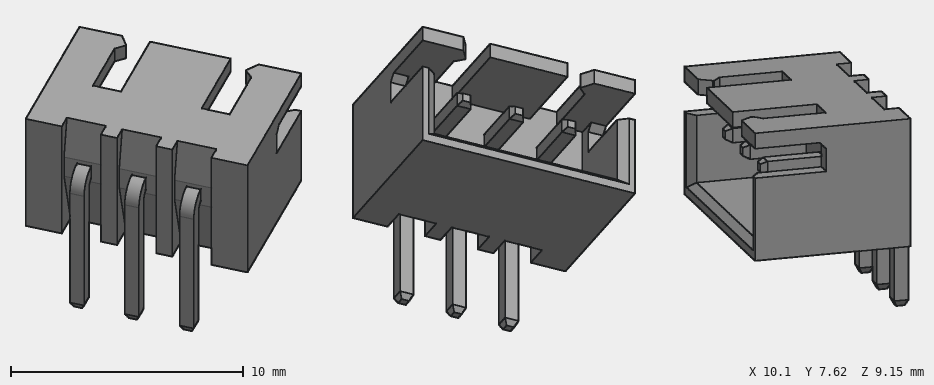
import cadquery as cq


HOUSING_WIDTH = 10.1
HOUSING_LENGTH = 7.0
HOUSING_HEIGHT = 5.75

SIDE_WALL = 0.71
TOP_WALL = 0.7
BOTTOM_WALL = 0.7
CAVITY_DEPTH = 3.79
LEAD_IN_LENGTH = 0.32
LEAD_IN_WIDTH = 0.42
LEAD_IN_HEIGHT = 0.3

LATCH_SLOT_WIDTH = 1.27
LATCH_SLOT_OUTER_X = 3.11
HOOK_REACH = 0.37
HOOK_LENGTH = 0.98
HOOK_FLAT = 0.06
HOOK_FRONT_RAMP = 0.56

SIDE_SLOT_DEPTH = 3.21
SIDE_SLOT_HEIGHT = 1.32
SIDE_SLOT_CHAMFER = 0.31

RECESS_WIDTH = 1.78
RECESS_PITCH = 2.51
RECESS_TOP_DEPTH = 0.67
RECESS_WAIST_DEPTH = 0.29
RECESS_BASE_DEPTH = 1.13
WAIST_TOP_Z = HOUSING_HEIGHT - 1.84
WAIST_BOTTOM_Z = HOUSING_HEIGHT - 2.87

PIN_COUNT = 3
PIN_PITCH = 2.49
PIN_SIZE = 0.65
PIN_INNER_RADIUS = 0.3
PIN_OUTER_RADIUS = PIN_INNER_RADIUS + PIN_SIZE
PIN_REAR_Y = -0.62
PIN_TOP_Z = HOUSING_HEIGHT - 2.05
PIN_BOTTOM_Z = -3.4
PIN_TIP_Y = HOUSING_LENGTH - 0.98
PIN_TIP_LENGTH = 0.28
PIN_TIP_INSET = 0.14

HALF_WIDTH = HOUSING_WIDTH / 2
CAVITY_REAR_Y = HOUSING_LENGTH - CAVITY_DEPTH
CAVITY_TOP_Z = HOUSING_HEIGHT - TOP_WALL


def row_positions(pitch):
    """X positions of a centred row with one place per pin."""
    return [(index - (PIN_COUNT - 1) / 2) * pitch for index in range(PIN_COUNT)]


def extrude_side_profile(points, width, x_center):
    """Solid of the given width in X from a closed outline of (Y, Z) points."""
    outline = cq.Workplane("YZ").polyline(points).close()
    return outline.extrude(width / 2, both=True).translate((x_center, 0, 0))


def make_cavity():
    """Rectangular pocket whose mouth flares at the sides and at the bottom."""
    half_cavity = HALF_WIDTH - SIDE_WALL
    half_mouth = half_cavity + LEAD_IN_WIDTH
    lead_in_y = HOUSING_LENGTH - LEAD_IN_LENGTH
    mouth_bottom_z = BOTTOM_WALL - LEAD_IN_HEIGHT
    pocket = (
        cq.Workplane("XY", origin=(0, 0, BOTTOM_WALL))
        .moveTo(-half_cavity, CAVITY_REAR_Y)
        .lineTo(half_cavity, CAVITY_REAR_Y)
        .lineTo(half_cavity, HOUSING_LENGTH)
        .lineTo(-half_cavity, HOUSING_LENGTH)
        .close()
        .extrude(CAVITY_TOP_Z - BOTTOM_WALL)
    )
    lead_in = (
        cq.Workplane("XZ", origin=(0, lead_in_y, 0))
        .moveTo(0, (BOTTOM_WALL + CAVITY_TOP_Z) / 2)
        .rect(2 * half_cavity, CAVITY_TOP_Z - BOTTOM_WALL)
        .workplane(offset=-LEAD_IN_LENGTH)
        .moveTo(0, (mouth_bottom_z + CAVITY_TOP_Z) / 2)
        .rect(2 * half_mouth, CAVITY_TOP_Z - mouth_bottom_z)
        .loft(ruled=True)
    )
    return pocket.union(lead_in)


def make_latch_slot():
    """Slot through the top wall on the +X side, narrowed by the hook near its mouth."""
    inner_x = LATCH_SLOT_OUTER_X - LATCH_SLOT_WIDTH
    hook_x = LATCH_SLOT_OUTER_X - HOOK_REACH
    hook_flat_y = HOUSING_LENGTH - HOOK_FRONT_RAMP
    outline = [
        (inner_x, CAVITY_REAR_Y),
        (LATCH_SLOT_OUTER_X, CAVITY_REAR_Y),
        (LATCH_SLOT_OUTER_X, HOUSING_LENGTH - HOOK_LENGTH),
        (hook_x, hook_flat_y - HOOK_FLAT),
        (hook_x, hook_flat_y),
        (LATCH_SLOT_OUTER_X, HOUSING_LENGTH),
        (inner_x, HOUSING_LENGTH),
    ]
    return cq.Workplane("XY", origin=(0, 0, CAVITY_TOP_Z)).polyline(outline).close().extrude(TOP_WALL)


def make_side_slot():
    """Slot across the full width, level with the cavity roof, with one chamfered end corner."""
    slot_rear_y = HOUSING_LENGTH - SIDE_SLOT_DEPTH
    slot_bottom_z = CAVITY_TOP_Z - SIDE_SLOT_HEIGHT
    outline = [
        (HOUSING_LENGTH, CAVITY_TOP_Z),
        (slot_rear_y + SIDE_SLOT_CHAMFER, CAVITY_TOP_Z),
        (slot_rear_y, CAVITY_TOP_Z - SIDE_SLOT_CHAMFER),
        (slot_rear_y, slot_bottom_z),
        (HOUSING_LENGTH, slot_bottom_z),
    ]
    return extrude_side_profile(outline, HOUSING_WIDTH, 0)


def make_rear_recess(x_center):
    """Full-height rear recess, shallowest at the waist where the pin comes out."""
    outline = [
        (0, 0),
        (RECESS_BASE_DEPTH, 0),
        (RECESS_WAIST_DEPTH, WAIST_BOTTOM_Z),
        (RECESS_WAIST_DEPTH, WAIST_TOP_Z),
        (RECESS_TOP_DEPTH, HOUSING_HEIGHT),
        (0, HOUSING_HEIGHT),
    ]
    return extrude_side_profile(outline, RECESS_WIDTH, x_center)


def make_pin_tip(base_plane):
    """Square taper from the full pin section at the base plane."""
    tip_size = PIN_SIZE - 2 * PIN_TIP_INSET
    return (
        cq.Workplane(base_plane)
        .rect(PIN_SIZE, PIN_SIZE)
        .workplane(offset=PIN_TIP_LENGTH)
        .rect(tip_size, tip_size)
        .loft(ruled=True)
    )


def make_pin(x_center):
    """Square pin with a rounded right-angle bend and both ends tapered."""
    shank_end_y = PIN_TIP_Y - PIN_TIP_LENGTH
    leg_end_z = PIN_BOTTOM_Z + PIN_TIP_LENGTH
    leg_front_y = PIN_REAR_Y + PIN_SIZE
    shank_bottom_z = PIN_TOP_Z - PIN_SIZE
    bend_y = PIN_REAR_Y + PIN_OUTER_RADIUS
    bend_z = PIN_TOP_Z - PIN_OUTER_RADIUS
    bent_bar = (
        cq.Workplane("YZ")
        .moveTo(shank_end_y, PIN_TOP_Z)
        .lineTo(bend_y, PIN_TOP_Z)
        .radiusArc((PIN_REAR_Y, bend_z), -PIN_OUTER_RADIUS)
        .lineTo(PIN_REAR_Y, leg_end_z)
        .lineTo(leg_front_y, leg_end_z)
        .lineTo(leg_front_y, bend_z)
        .radiusArc((bend_y, shank_bottom_z), PIN_INNER_RADIUS)
        .lineTo(shank_end_y, shank_bottom_z)
        .close()
        .extrude(PIN_SIZE / 2, both=True)
    )
    shank_center = (0, shank_end_y, PIN_TOP_Z - PIN_SIZE / 2)
    leg_center = (0, PIN_REAR_Y + PIN_SIZE / 2, leg_end_z)
    shank_tip = make_pin_tip(cq.Plane(origin=shank_center, xDir=(1, 0, 0), normal=(0, 1, 0)))
    leg_tip = make_pin_tip(cq.Plane(origin=leg_center, xDir=(1, 0, 0), normal=(0, 0, -1)))
    return bent_bar.union(shank_tip).union(leg_tip).translate((x_center, 0, 0))


def make_housing(pins):
    """Shrouded housing with a fitting passage for every pin."""
    body = cq.Workplane("XY").box(
        HOUSING_WIDTH, HOUSING_LENGTH, HOUSING_HEIGHT, centered=(True, False, False)
    )
    latch_slot = make_latch_slot()
    body = body.cut(make_cavity()).cut(make_side_slot())
    body = body.cut(latch_slot).cut(latch_slot.mirror("YZ"))
    for x_center in row_positions(RECESS_PITCH):
        body = body.cut(make_rear_recess(x_center))
    for pin in pins:
        body = body.cut(pin)
    return body


pins = [make_pin(x_center) for x_center in row_positions(PIN_PITCH)]
housing = make_housing(pins)
result = cq.Compound.makeCompound([housing.solids().val(), *[pin.solids().val() for pin in pins]])